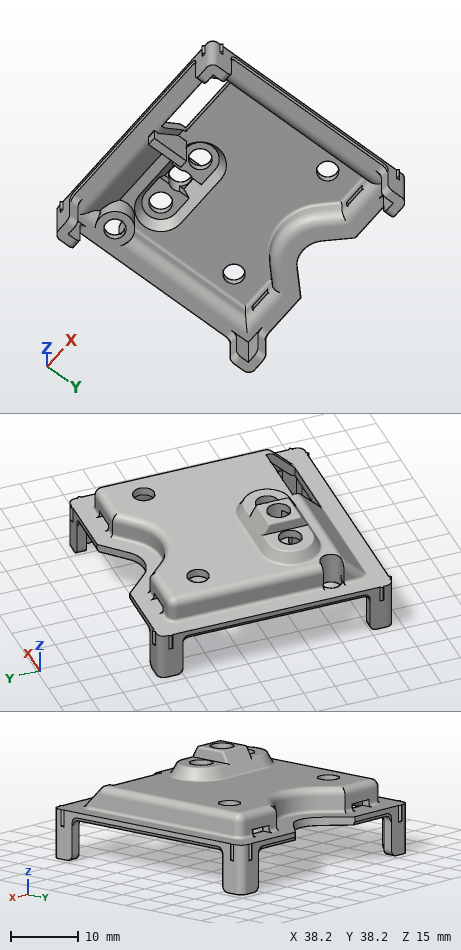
import cadquery as cq
import math

FOOT_Z = -7.6
FLANGE_THICK = 1.28
HOUSING_TOP = 3.8
PAD_TOP = 5.65
TOWER_TOP = 7.39

PLATE = 37.5
HALF_PLATE = PLATE / 2
CORNER_RADIUS = 1.15
LEG_THICK = 1.55
ARCH_HALF = 14.95
ARCH_RADIUS = 1.0
ARCH_BEVEL_HEIGHT = 0.48
ARCH_BEVEL_DEPTH = 0.2

NOTCH_HALF = 6.67
NOTCH_RADIUS = 4.2
NOTCH_APEX = HALF_PLATE - NOTCH_HALF
NOTCH_TO_HOUSING = 2.75
HOUSING_NOTCH_RADIUS = NOTCH_RADIUS + NOTCH_TO_HOUSING

HOUSING_HALF = 15.9
HOUSING_ROUND = 1.25
BASE_FILLET = 0.5
SHELL = 1.3
MOUTH_FILLET = BASE_FILLET + SHELL
RAMP_RIDGE = -12.05
RAMP_ANGLE = math.radians(45)
CAVITY_TOP_FILLET = 0.44

TOWER_X = -4.66
TOWER_Y = -5.85
PAD_SPACING = 4.69
FLANK_ANGLE = 30.0
PAD_FOOT_RADIUS = 4.645
TOWER_HALF_WIDTH = 2.75
TOWER_FILLET = 0.33
TOWER_FOOT_FILLET = 0.5
TOWER_HOLE_RADIUS = 1.76

ROOF_HOLE_X = 11.13
ROOF_HOLE_Y = 9.57
ROOF_HOLE_RADIUS = 1.65
SIDE_HOLE_X = -14.77
SIDE_HOLE_Y = -10.25
SIDE_HOLE_RADIUS = 1.65
WINDOW_X = (3.06, 13.86)
WINDOW_Y = (-15.65, -11.06)
REAR_SLOT_X = (9.37, 13.05)
REAR_SLOT_HEIGHT = 1.05

RIB_X = (0.52, 1.86)
RIB_Y = (-16.1, -9.96)
RIB_BOTTOM = -3.82

FIN_OFFSET = 16.85
FIN_HALF_WIDTH = 0.3
OVERALL_X = 38.15
OVERALL_Y = 38.2
FIN_HEIGHT_X = (OVERALL_X - PLATE) / 2
FIN_HEIGHT_Y = (OVERALL_Y - PLATE) / 2
FIN_BOTTOM = -2.55
FIN_TIP_BOTTOM = -2.28

CLEAR = 1.0
THROUGH = (FOOT_Z, TOWER_TOP + CLEAR)
TOLERANCE = 0.01


def box(x_range, y_range, z_range):
    """Axis-aligned block between the given limits."""
    size = [r[1] - r[0] for r in (x_range, y_range, z_range)]
    corner = (x_range[0], y_range[0], z_range[0])
    return cq.Workplane("XY").box(*size, centered=False).translate(corner)


def cylinder(x, y, radius, z_range):
    """Upright cylinder between two heights."""
    start = cq.Workplane("XY", origin=(x, y, z_range[0]))
    return start.circle(radius).extrude(z_range[1] - z_range[0])


def notch_cutter(apex_y, radius, z_range):
    """Rounded V opening toward +Y; the apex is where its straight flanks would cross."""
    centre_y = apex_y + radius * math.sqrt(2)
    tangent_x = radius / math.sqrt(2)
    tangent_y = apex_y + tangent_x
    end_y = HALF_PLATE + CLEAR
    end_x = end_y - apex_y
    return (
        cq.Workplane("XY", origin=(0, 0, z_range[0]))
        .moveTo(-end_x, end_y)
        .lineTo(-tangent_x, tangent_y)
        .threePointArc((0, centre_y - radius), (tangent_x, tangent_y))
        .lineTo(end_x, end_y)
        .close()
        .extrude(z_range[1] - z_range[0])
    )


def arch_void():
    """Opening between two legs, running through the part along Y, with rounded foot corners."""
    top = -FLANGE_THICK
    r = ARCH_RADIUS
    foot = ARCH_HALF + r
    return (
        cq.Workplane("XZ", origin=(0, HALF_PLATE + CLEAR, 0))
        .moveTo(-foot, FOOT_Z)
        .radiusArc((-ARCH_HALF, FOOT_Z + r), -r)
        .lineTo(-ARCH_HALF, top - r)
        .radiusArc((-ARCH_HALF + r, top), r)
        .lineTo(ARCH_HALF - r, top)
        .radiusArc((ARCH_HALF, top - r), r)
        .lineTo(ARCH_HALF, FOOT_Z + r)
        .radiusArc((foot, FOOT_Z), -r)
        .close()
        .extrude(PLATE + 2 * CLEAR)
    )


def arch_bevel():
    """Bevel under the -Y flange edge: the arch profile swept inward and steeply down."""
    top = ARCH_BEVEL_HEIGHT - FLANGE_THICK
    r = ARCH_RADIUS
    low = top - 2 * r
    profile = (
        cq.Workplane("XZ", origin=(0, -HALF_PLATE, 0))
        .moveTo(-ARCH_HALF, low)
        .lineTo(-ARCH_HALF, top - r)
        .radiusArc((-ARCH_HALF + r, top), r)
        .lineTo(ARCH_HALF - r, top)
        .radiusArc((ARCH_HALF, top - r), r)
        .lineTo(ARCH_HALF, low)
        .close()
    )
    sweep = cq.Vector(0, ARCH_BEVEL_DEPTH, -ARCH_BEVEL_HEIGHT)
    return cq.Workplane(cq.Solid.extrudeLinear(profile.val(), [], sweep))


def flange_with_legs():
    """Square flange on four L-section corner legs."""
    body = box((-HALF_PLATE, HALF_PLATE), (-HALF_PLATE, HALF_PLATE), (FOOT_Z, 0))
    body = body.edges("|Z").fillet(CORNER_RADIUS)
    inner = HALF_PLATE - LEG_THICK
    body = body.cut(box((-inner, inner), (-inner, inner), (FOOT_Z, -FLANGE_THICK)))
    for angle in (0, 90):
        body = body.cut(arch_void().rotate((0, 0, 0), (0, 0, 1), angle))
    for angle in (0, 90, 180, 270):
        body = body.cut(arch_bevel().rotate((0, 0, 0), (0, 0, 1), angle))
    return body.cut(notch_cutter(NOTCH_APEX, NOTCH_RADIUS, (FOOT_Z, CLEAR)))


def housing_shape(inset, bottom, top):
    """Block with a ramp on its -Y side and the notch cut into its +Y side.

    The inset moves every face inward, measured square to the face.
    """
    half = HOUSING_HALF - inset
    ridge = RAMP_RIDGE + inset * math.tan(RAMP_ANGLE / 2)
    apex_y = NOTCH_APEX - (NOTCH_TO_HOUSING + inset) * math.sqrt(2)
    block = (
        cq.Workplane("YZ", origin=(-half, 0, 0))
        .moveTo(half, bottom)
        .lineTo(half, top)
        .lineTo(ridge, top)
        .lineTo(ridge - (top - bottom) / math.tan(RAMP_ANGLE), bottom)
        .close()
        .extrude(2 * half)
    )
    return block.cut(notch_cutter(apex_y, HOUSING_NOTCH_RADIUS + inset, (bottom, top)))


def housing():
    """Outer housing with rounded edges."""
    body = housing_shape(0, 0, HOUSING_TOP)
    rear_corners = body.edges("|Z").filter(lambda e: abs(e.Center().x) > HOUSING_HALF - CLEAR)
    body = rear_corners.fillet(HOUSING_ROUND)
    return body.edges().filter(is_upper_housing_edge).fillet(HOUSING_ROUND)


def is_upper_housing_edge(edge):
    """True for the roof outline and the two side edges of the ramp."""
    on_roof = edge.BoundingBox().zmin > HOUSING_TOP - TOLERANCE
    on_ramp = edge.Center().y < RAMP_RIDGE and edge.Center().z > TOLERANCE
    return on_roof or on_ramp


def cavity():
    """Hollow inside the housing, filleted below the roof and open through the flange."""
    body = housing_shape(SHELL, -FLANGE_THICK, HOUSING_TOP - SHELL)
    rim = body.faces(">Z").edges().filter(lambda e: e.Center().y > RAMP_RIDGE + SHELL)
    return rim.fillet(CAVITY_TOP_FILLET)


def tower_cavity():
    """Hollow below the screw tower, one shell thickness inside its pad and its block."""
    return tower_shape(HOUSING_TOP - SHELL, PAD_TOP - SHELL, TOWER_TOP - SHELL, SHELL)


def tower_shape(bottom, pad_top, block_top, inset):
    """Stadium pad with a taller block across it; the inset moves every side inward."""
    slope = math.radians(FLANK_ANGLE)
    foot_radius = PAD_FOOT_RADIUS + (HOUSING_TOP - bottom) * math.tan(slope) - inset / math.cos(slope)
    reach = PAD_SPACING + foot_radius
    half_width = TOWER_HALF_WIDTH - inset
    body = (
        cq.Workplane("XY", origin=(TOWER_X, TOWER_Y, bottom))
        .slot2D(2 * reach, 2 * foot_radius)
        .extrude(block_top - bottom, taper=FLANK_ANGLE)
    )
    y_range = (TOWER_Y - foot_radius, TOWER_Y + foot_radius)
    for x_range in ((TOWER_X - reach, TOWER_X - half_width), (TOWER_X + half_width, TOWER_X + reach)):
        body = body.cut(box(x_range, y_range, (pad_top, block_top)))
    return body


def screw_tower():
    """Pad and block standing on the roof, with rounded upper edges."""
    body = tower_shape(HOUSING_TOP, PAD_TOP, TOWER_TOP, 0)
    return body.edges().filter(is_upper_tower_edge).fillet(TOWER_FILLET)


def is_upper_tower_edge(edge):
    """True for every edge from the pad top upward, except the inner corners beside the block."""
    bounds = edge.BoundingBox()
    beside_block = abs(abs(edge.Center().x - TOWER_X) - TOWER_HALF_WIDTH) < TOLERANCE
    inner_corner = beside_block and bounds.zmax < PAD_TOP + TOLERANCE
    return bounds.zmin > PAD_TOP - TOLERANCE and not inner_corner


def fillet_inner_outline(body, height, radius):
    """Fillet the closed outline inside the flat face at the given height."""
    face = body.faces("|Z").filter(
        lambda f: abs(f.Center().z - height) < TOLERANCE and len(f.innerWires()) == 1)
    edges = face.val().innerWires()[0].Edges()
    return body.newObject(edges).fillet(radius)


def side_hole():
    """Round hole through the -X side of the housing, open sideways above the flange."""
    hole = cylinder(SIDE_HOLE_X, SIDE_HOLE_Y, SIDE_HOLE_RADIUS, THROUGH)
    y_range = (SIDE_HOLE_Y - SIDE_HOLE_RADIUS, SIDE_HOLE_Y + SIDE_HOLE_RADIUS)
    return hole.union(box((-HALF_PLATE, SIDE_HOLE_X), y_range, (0, HOUSING_TOP)))


def crush_fin(height):
    """Three-sided fin on the -Y face at x = 0, with a sloping lower end."""
    fin = (
        cq.Workplane("XY", origin=(0, -HALF_PLATE, FIN_BOTTOM))
        .moveTo(-FIN_HALF_WIDTH, 0)
        .lineTo(0, -height)
        .lineTo(FIN_HALF_WIDTH, 0)
        .close()
        .extrude(-FIN_BOTTOM)
    )
    slope = (
        cq.Workplane("YZ", origin=(-FIN_HALF_WIDTH, -HALF_PLATE, FIN_BOTTOM))
        .lineTo(-height, 0)
        .lineTo(-height, FIN_TIP_BOTTOM - FIN_BOTTOM)
        .close()
        .extrude(2 * FIN_HALF_WIDTH)
    )
    return fin.cut(slope)


body = flange_with_legs().union(housing())
body = fillet_inner_outline(body, 0, BASE_FILLET)
body = body.union(screw_tower())
body = fillet_inner_outline(body, HOUSING_TOP, TOWER_FOOT_FILLET)

body = body.cut(cavity())
body = fillet_inner_outline(body, -FLANGE_THICK, MOUTH_FILLET)
body = body.cut(tower_cavity())

hollow = cavity()
tube_radius = SIDE_HOLE_RADIUS + SHELL
body = body.union(cylinder(SIDE_HOLE_X, SIDE_HOLE_Y, tube_radius, (0, HOUSING_TOP)).intersect(hollow))
body = body.union(cylinder(SIDE_HOLE_X, SIDE_HOLE_Y, tube_radius, (-FLANGE_THICK, 0)))
body = body.union(box(RIB_X, RIB_Y, (RIB_BOTTOM, HOUSING_TOP)).intersect(hollow))
body = body.union(box(RIB_X, RIB_Y, (RIB_BOTTOM, -FLANGE_THICK)))

body = body.cut(side_hole())
for i in (-1, 0, 1):
    body = body.cut(cylinder(TOWER_X + i * PAD_SPACING, TOWER_Y, TOWER_HOLE_RADIUS, THROUGH))
for side in (-1, 1):
    body = body.cut(cylinder(side * ROOF_HOLE_X, ROOF_HOLE_Y, ROOF_HOLE_RADIUS, THROUGH))
    slot_x = sorted(side * x for x in REAR_SLOT_X)
    slot_y = (HOUSING_HALF - SHELL - CLEAR, HALF_PLATE)
    body = body.cut(box(slot_x, slot_y, (0, REAR_SLOT_HEIGHT)))
body = body.cut(box(WINDOW_X, WINDOW_Y, THROUGH))

for angle, height in ((0, FIN_HEIGHT_Y), (90, FIN_HEIGHT_X), (180, FIN_HEIGHT_Y), (270, FIN_HEIGHT_X)):
    for offset in (-FIN_OFFSET, FIN_OFFSET):
        body = body.union(crush_fin(height).translate((offset, 0, 0)).rotate((0, 0, 0), (0, 0, 1), angle))

result = body